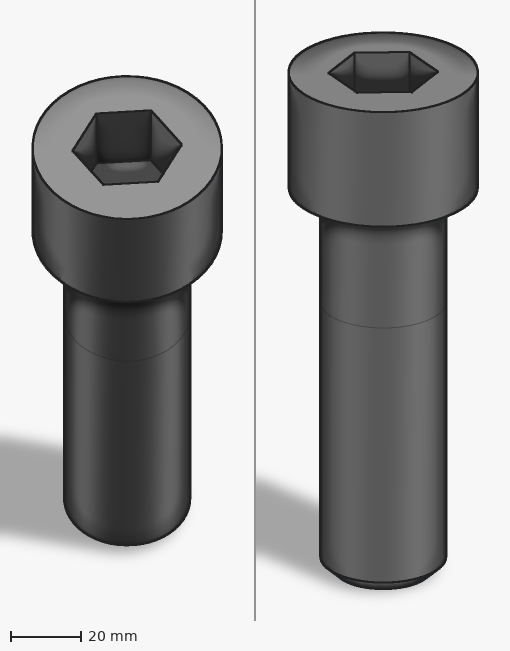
import cadquery as cq
import math

thread_diameter = 36.0
thread_radius = thread_diameter / 2
screw_length = 120.0
thread_length = 2 * thread_diameter + 12.0
plain_length = screw_length - thread_length

head_diameter = 1.5 * thread_diameter
head_height = thread_diameter

socket_across_flats = 27.0
socket_across_corners = socket_across_flats / math.cos(math.pi / 6)
socket_depth = 0.6 * thread_diameter

tip_diameter = 27.5
tip_length = 4.0


def make_head():
    return cq.Workplane("XY").circle(head_diameter / 2).extrude(head_height)


def make_plain_shank():
    return cq.Workplane("XY").circle(thread_radius).extrude(-plain_length)


def make_thread():
    """Thread as a cylinder of nominal diameter, with a conical tip."""
    half_profile = (
        cq.Workplane("XZ")
        .moveTo(0, -plain_length)
        .lineTo(thread_radius, -plain_length)
        .lineTo(thread_radius, tip_length - screw_length)
        .lineTo(tip_diameter / 2, -screw_length)
        .lineTo(0, -screw_length)
        .close()
    )
    return half_profile.revolve(360, (0, 0, 0), (0, 1, 0))


def make_socket():
    socket_plane = cq.Workplane("XY").workplane(offset=head_height)
    return socket_plane.polygon(6, socket_across_corners).extrude(-socket_depth)


screw = make_head().union(make_plain_shank()).union(make_thread())
result = screw.cut(make_socket())